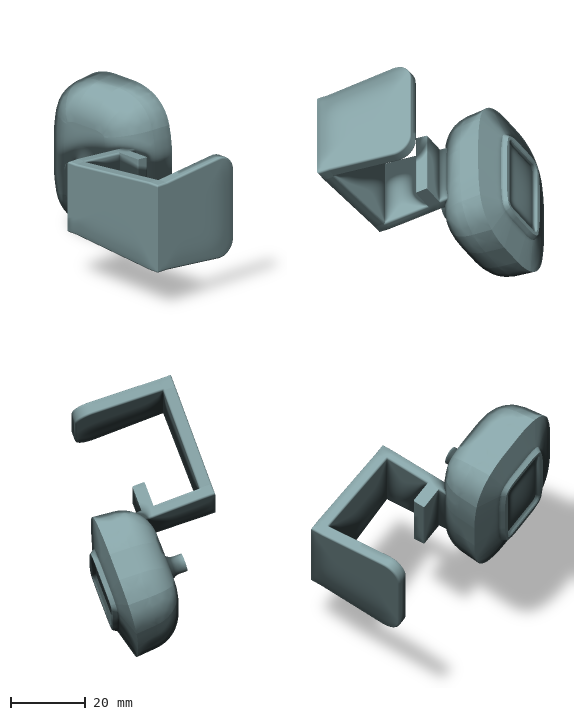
import cadquery as cq
import math

PART_TURN = 5.24

RIM_WIDTH = 36.6
RIM_HEIGHT = 43.35
END_FLAT_HALF = 3.75
SIDE_FLAT_HALF = 4.1
END_ARC_RADIUS = 17.7
END_ARC_ANGLE = 23.5
CORNER_RADIUS = 11.25

SHELL_DEPTH = 14.75
SHELL_DRAFT = 5.0
SHELL_FILLET = 9.75
STEM_DIAMETER = 5.0
STEM_ROOT_RADIUS = 3.0
STEM_LENGTH = 5.25

BACK_HEIGHT = 2.45
BACK_INSET = 8.2
LIP_HEIGHT = 1.3
LIP_INSET = 0.9
RECESS_WIDTH = 15.0
RECESS_HEIGHT = 22.0
RECESS_CORNER_DIAMETER = 3.35
RECESS_CHAMFER = 0.3

BRACKET_LEFT = 12.5
BRACKET_RIGHT = 47.15
BRACKET_FRONT = -33.45
BRACKET_DROP = 0.5
NEAR_WALL_THICKNESS = 3.1
WALL_THICKNESS = 3.5
NEAR_WALL_BACK = -9.55
FAR_WALL_BACK = -4.9
NEAR_CORNER_HALF_HEIGHT = 10.1
FAR_CORNER_HALF_HEIGHT = 12.55
NEAR_WALL_FLARE = -4.5
FAR_WALL_FLARE = 5.4
FAR_CORNER_RADIUS = 5.0
WALL_EDGE_FILLET = 0.55

TAB_FRONT = -16.85
TAB_THICKNESS = 3.5
TAB_END = 22.5
TAB_FILLET = 0.35

RIM_HALF_WIDTH = RIM_WIDTH / 2
RIM_HALF_HEIGHT = RIM_HEIGHT / 2
RECESS_CORNER_RADIUS = RECESS_CORNER_DIAMETER / 2
LIP_TOP = BACK_HEIGHT + LIP_HEIGHT
BRACKET_INNER_LEFT = BRACKET_LEFT + NEAR_WALL_THICKNESS
BRACKET_INNER_RIGHT = BRACKET_RIGHT - WALL_THICKNESS
BRACKET_INNER_FRONT = BRACKET_FRONT + WALL_THICKNESS

TOWARD_BACK = cq.Plane(origin=(0, 0, 0), xDir=(1, 0, 0), normal=(0, 1, 0))


def along_angle(center, radius, degrees):
    """Point at the given angle on a circle."""
    angle = math.radians(degrees)
    return (center[0] + radius * math.cos(angle), center[1] + radius * math.sin(angle))


def rim_outline(plane):
    """Closed rim outline: four flats joined by tangent broad and corner arcs."""
    end_center = (END_FLAT_HALF, RIM_HALF_HEIGHT - END_ARC_RADIUS)
    end_normal = 90 - END_ARC_ANGLE
    corner_center = along_angle(end_center, END_ARC_RADIUS - CORNER_RADIUS, end_normal)

    gap_x = RIM_HALF_WIDTH - corner_center[0]
    gap_z = corner_center[1] - SIDE_FLAT_HALF
    side_radius = (gap_x**2 + gap_z**2 - CORNER_RADIUS**2) / (2 * (gap_x - CORNER_RADIUS))
    side_center = (RIM_HALF_WIDTH - side_radius, SIDE_FLAT_HALF)
    side_normal = math.degrees(math.atan2(gap_z, corner_center[0] - side_center[0]))

    end_mid = along_angle(end_center, END_ARC_RADIUS, 90 - END_ARC_ANGLE / 2)
    end_corner = along_angle(corner_center, CORNER_RADIUS, end_normal)
    corner_mid = along_angle(corner_center, CORNER_RADIUS, (end_normal + side_normal) / 2)
    side_corner = along_angle(corner_center, CORNER_RADIUS, side_normal)
    side_mid = along_angle(side_center, side_radius, side_normal / 2)

    quarter = (
        cq.Workplane(plane)
        .moveTo(0, RIM_HALF_HEIGHT)
        .lineTo(END_FLAT_HALF, RIM_HALF_HEIGHT)
        .threePointArc(end_mid, end_corner)
        .threePointArc(corner_mid, side_corner)
        .threePointArc(side_mid, (RIM_HALF_WIDTH, SIDE_FLAT_HALF))
        .lineTo(RIM_HALF_WIDTH, 0)
    )
    return quarter.mirrorX().mirrorY()


def taper_for(inset, height):
    """Taper angle that moves an outline inward by inset over height."""
    return math.degrees(math.atan2(inset, height))


def make_bud():
    """Drafted and rounded shell with its stem, sloping back, and lip around a recess."""
    shell = rim_outline("XZ").extrude(SHELL_DEPTH, taper=SHELL_DRAFT)
    shell = shell.faces("<Y").edges().fillet(SHELL_FILLET)
    back = rim_outline(TOWARD_BACK).extrude(BACK_HEIGHT, taper=taper_for(BACK_INSET, BACK_HEIGHT))
    lip = back.faces(">Y").wires().toPending()
    lip = lip.workplane().extrude(LIP_HEIGHT, taper=taper_for(LIP_INSET, LIP_HEIGHT), combine=False)
    return shell.union(back).union(lip).union(make_stem()).cut(make_recess())


def make_stem():
    """Cylinder with a concave flare at its root, turned about the Y axis."""
    radius = STEM_DIAMETER / 2
    root_center = (radius + STEM_ROOT_RADIUS, -SHELL_DEPTH - STEM_ROOT_RADIUS)
    return (
        cq.Workplane("XY")
        .moveTo(0, -SHELL_DEPTH)
        .lineTo(radius + STEM_ROOT_RADIUS, -SHELL_DEPTH)
        .threePointArc(along_angle(root_center, STEM_ROOT_RADIUS, 135), (radius, root_center[1]))
        .lineTo(radius, -SHELL_DEPTH - STEM_LENGTH)
        .lineTo(0, -SHELL_DEPTH - STEM_LENGTH)
        .close()
        .revolve(360, (0, 0, 0), (0, 1, 0))
    )


def make_recess():
    """Rounded pocket as deep as the lip is high, with a mouth that widens outward."""
    pocket = (
        cq.Workplane("XZ", origin=(0, LIP_TOP, 0))
        .sketch()
        .rect(RECESS_WIDTH, RECESS_HEIGHT)
        .vertices()
        .fillet(RECESS_CORNER_RADIUS)
        .finalize()
        .extrude(LIP_HEIGHT)
    )
    mouth = (
        cq.Workplane("XZ", origin=(0, LIP_TOP, 0))
        .sketch()
        .rect(RECESS_WIDTH + 2 * RECESS_CHAMFER, RECESS_HEIGHT + 2 * RECESS_CHAMFER)
        .vertices()
        .fillet(RECESS_CORNER_RADIUS + RECESS_CHAMFER)
        .finalize()
        .extrude(RECESS_CHAMFER, taper=45)
    )
    return pocket.union(mouth)


def side_wall(left, right, back, corner_half_height, flare):
    """Wall along Y, level at the front corner, then flaring in height toward its back end."""
    rise = (back - BRACKET_INNER_FRONT) * math.tan(math.radians(flare))
    outline = [
        (BRACKET_FRONT, corner_half_height),
        (BRACKET_INNER_FRONT, corner_half_height),
        (back, corner_half_height + rise),
    ]
    return symmetric_wall("YZ", outline, left, right)


def front_wall():
    """Wall along X, level at both corners and sloping between them."""
    outline = [
        (BRACKET_LEFT, NEAR_CORNER_HALF_HEIGHT),
        (BRACKET_INNER_LEFT, NEAR_CORNER_HALF_HEIGHT),
        (BRACKET_INNER_RIGHT, FAR_CORNER_HALF_HEIGHT),
        (BRACKET_RIGHT, FAR_CORNER_HALF_HEIGHT),
    ]
    return symmetric_wall("XZ", outline, -BRACKET_INNER_FRONT, -BRACKET_FRONT)


def symmetric_wall(plane, upper_outline, start, end):
    """Extrude an upper outline and its mirror image below Z = 0 as one wall."""
    lower_outline = [(along, -height) for along, height in reversed(upper_outline)]
    wall = cq.Workplane(plane).workplane(offset=start).polyline(upper_outline + lower_outline).close()
    return wall.extrude(end - start)


def make_tab():
    """Tab flush with the sloping top and bottom of the near wall, with rounded end edges."""
    start = BRACKET_INNER_LEFT - WALL_EDGE_FILLET
    full = side_wall(start, TAB_END, NEAR_WALL_BACK, NEAR_CORNER_HALF_HEIGHT, NEAR_WALL_FLARE)
    limits = (
        cq.Workplane("XY")
        .box(
            TAB_END - start,
            TAB_THICKNESS,
            2 * NEAR_CORNER_HALF_HEIGHT,
            centered=(False, False, True),
        )
        .translate((start, TAB_FRONT, 0))
        .edges("|Z and >X")
        .fillet(TAB_FILLET)
    )
    return full.intersect(limits)


def make_bracket():
    """Near wall, front wall and far wall with rounded edges, and the tab on the near wall."""
    near = side_wall(
        BRACKET_LEFT, BRACKET_INNER_LEFT, NEAR_WALL_BACK, NEAR_CORNER_HALF_HEIGHT, NEAR_WALL_FLARE
    )
    far = side_wall(
        BRACKET_INNER_RIGHT, BRACKET_RIGHT, FAR_WALL_BACK, FAR_CORNER_HALF_HEIGHT, FAR_WALL_FLARE
    )
    far = far.faces(">Y").edges("|X").fillet(FAR_CORNER_RADIUS)
    frame = near.union(front_wall()).union(far)

    frame = frame.faces("|X or |Y").edges("not (|Z or >Y)").fillet(WALL_EDGE_FILLET)
    return frame.union(make_tab()).translate((0, 0, -BRACKET_DROP))


def turned(body):
    """The body's solid in its final attitude."""
    return body.solids().val().rotate((0, 0, 0), (0, 0, 1), PART_TURN)


bracket = make_bracket()
bud = make_bud().cut(bracket)

result = cq.Compound.makeCompound([turned(bud), turned(bracket)])